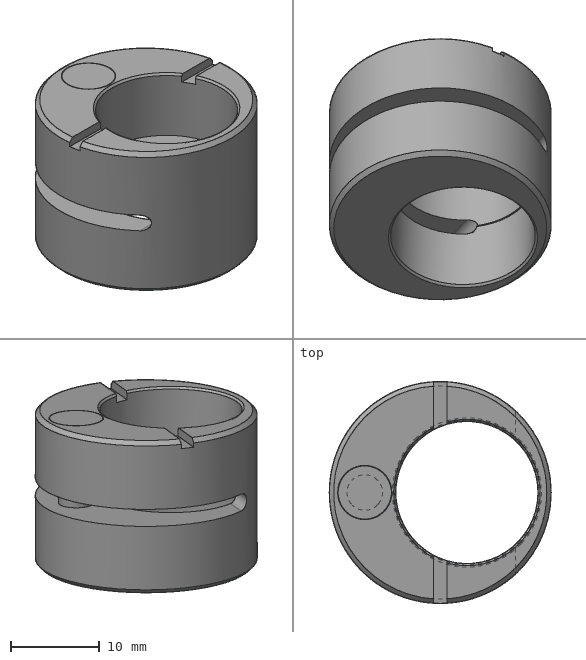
import cadquery as cq
import math

outer_diameter = 25
height = 17.9
outer_chamfer = 0.5

bore_diameter = 16
lower_bore_diameter = 16.3
bore_mouth_chamfer = 0.25
bore_offset = 3

split_width = 2
split_end_x = 8.5

groove_width = 1.5
groove_depth = 1

screw_x = -8.5
shank_diameter = 4
head_diameter = 6
head_recess_diameter = 6.1
head_height = 4

top_z = height / 2


def bore_cutter(diameter, face_z):
    """Half of the bore, from mid-height to an end face, flared by the mouth chamfer."""
    radius = diameter / 2
    chamfer_z = face_z - math.copysign(bore_mouth_chamfer, face_z)
    profile = (
        cq.Workplane("XZ", origin=(bore_offset, 0, 0))
        .lineTo(radius, 0)
        .lineTo(radius, chamfer_z)
        .lineTo(radius + bore_mouth_chamfer, face_z)
        .lineTo(0, face_z)
        .close()
    )
    return profile.revolve(360, (0, 0, 0), (0, 1, 0))


def ring_body():
    body = cq.Workplane("XY").circle(outer_diameter / 2).extrude(top_z, both=True)
    body = body.faces("<Z or >Z").edges().chamfer(outer_chamfer)
    body = body.cut(bore_cutter(bore_diameter, top_z))
    return body.cut(bore_cutter(lower_bore_diameter, -top_z))


def split():
    """Horizontal slit open towards -X, with a round inner end."""
    end_radius = split_width / 2
    end_center_x = split_end_x - end_radius
    length = end_center_x + outer_diameter
    slit = cq.Workplane("XY").box(length, outer_diameter, split_width)
    slit = slit.translate((end_center_x - length / 2, 0, 0))
    round_end = cq.Workplane("XZ").center(end_center_x, 0).circle(end_radius)
    return slit.union(round_end.extrude(outer_diameter / 2, both=True))


def top_groove():
    """Straight groove across the top face along Y."""
    groove = cq.Workplane("XY").box(groove_width, outer_diameter, 2 * groove_depth)
    return groove.translate((0, 0, top_z))


def screw_shank():
    """Pin that bridges the split and runs into both halves."""
    shank = cq.Workplane("XY", origin=(screw_x, 0, -split_width))
    return shank.circle(shank_diameter / 2).extrude(2 * split_width)


def head_gap():
    """Thin clearance ring around the screw head, which is flush with the top face."""
    ring = cq.Workplane("XY", origin=(screw_x, 0, top_z))
    ring = ring.circle(head_recess_diameter / 2).circle(head_diameter / 2)
    return ring.extrude(-head_height)


result = ring_body().cut(split()).cut(top_groove()).cut(head_gap()).union(screw_shank())